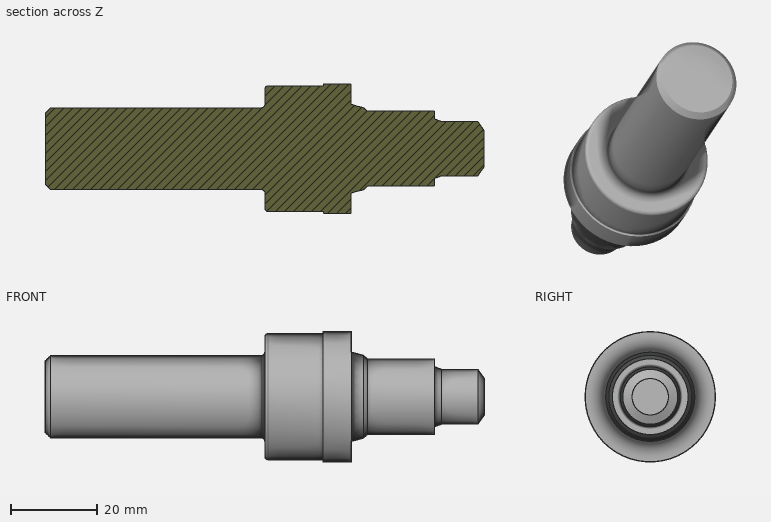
import cadquery as cq
import math

COLLAR_FACE_X = 50.8
FLANGE_FACE_X = 64.29
FLANGE_BACK_X = 70.85
SHOULDER_X = 90.09
OVERALL_LENGTH = 101.6

SHANK_DIAMETER = 19.05
COLLAR_DIAMETER = 29.21
FLANGE_DIAMETER = 30.18
JOURNAL_DIAMETER = 17.5
PILOT_DIAMETER = 12.7

SHANK_CHAMFER = 1.27
FILLET_RADIUS = 0.79
PILOT_CHAMFER_LENGTH = 1.5
PILOT_CHAMFER_ANGLE = 55.0

RELIEF_DIAMETER = 20.64
RELIEF_TAPER_LENGTH = 2.75
RELIEF_TAPER_ANGLE = 15.0
RELIEF_CONE_LENGTH = 0.95

ROOT_TAPER_LENGTH = 1.6
ROOT_TAPER_ANGLE = 20.0


def drop(length, angle):
    """Radius lost by a cone of the given axial length and half angle in degrees."""
    return length * math.tan(math.radians(angle))


def shaft_body():
    """Revolve the stepped half outline about the X axis, with the collar face corners left sharp."""
    shank_radius = SHANK_DIAMETER / 2
    collar_radius = COLLAR_DIAMETER / 2
    flange_radius = FLANGE_DIAMETER / 2
    journal_radius = JOURNAL_DIAMETER / 2
    pilot_radius = PILOT_DIAMETER / 2

    relief_radius = RELIEF_DIAMETER / 2
    relief_end_x = FLANGE_BACK_X + RELIEF_TAPER_LENGTH
    relief_end_radius = relief_radius - drop(RELIEF_TAPER_LENGTH, RELIEF_TAPER_ANGLE)
    journal_start_x = relief_end_x + RELIEF_CONE_LENGTH

    root_end_x = SHOULDER_X + ROOT_TAPER_LENGTH
    root_radius = pilot_radius + drop(ROOT_TAPER_LENGTH, ROOT_TAPER_ANGLE)
    pilot_end_x = OVERALL_LENGTH - PILOT_CHAMFER_LENGTH
    pilot_end_radius = pilot_radius - drop(PILOT_CHAMFER_LENGTH, PILOT_CHAMFER_ANGLE)

    outline = [
        (0, 0),
        (0, shank_radius - SHANK_CHAMFER),
        (SHANK_CHAMFER, shank_radius),
        (COLLAR_FACE_X, shank_radius),
        (COLLAR_FACE_X, collar_radius),
        (FLANGE_FACE_X, collar_radius),
        (FLANGE_FACE_X, flange_radius),
        (FLANGE_BACK_X, flange_radius),
        (FLANGE_BACK_X, relief_radius),
        (relief_end_x, relief_end_radius),
        (journal_start_x, journal_radius),
        (SHOULDER_X, journal_radius),
        (SHOULDER_X, root_radius),
        (root_end_x, pilot_radius),
        (pilot_end_x, pilot_radius),
        (OVERALL_LENGTH, pilot_end_radius),
        (OVERALL_LENGTH, 0),
    ]
    return cq.Workplane("XZ").polyline(outline).close().revolve(axisEnd=(1, 0, 0))


def round_collar_face(body):
    """Round the outer rim of the collar face and the inside corner at the shank."""
    near_face = cq.selectors.BoxSelector(
        (COLLAR_FACE_X - FILLET_RADIUS, -FLANGE_DIAMETER, -FLANGE_DIAMETER),
        (COLLAR_FACE_X + FILLET_RADIUS, FLANGE_DIAMETER, FLANGE_DIAMETER),
        boundingbox=True,
    )
    return body.edges(near_face).edges("%CIRCLE").fillet(FILLET_RADIUS)


result = round_collar_face(shaft_body())